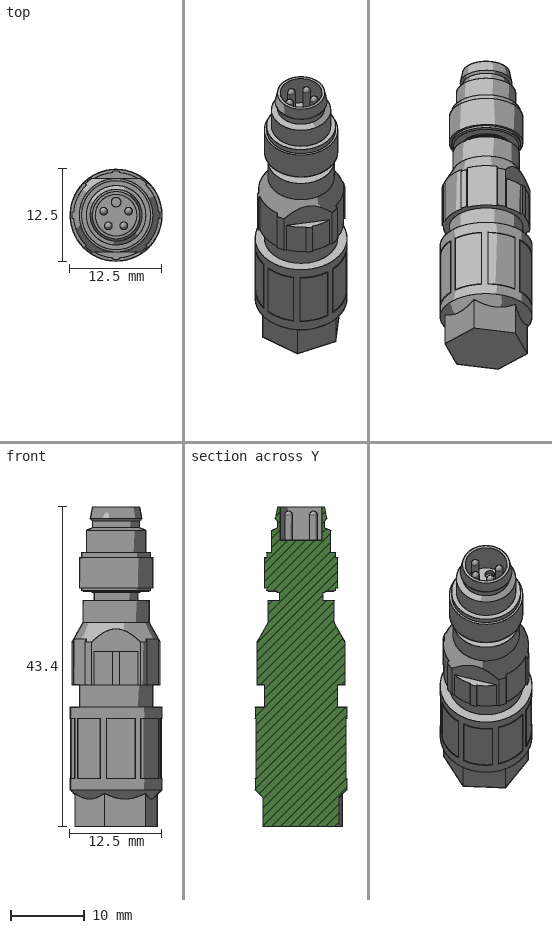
import cadquery as cq
import math

hex_top = 5.0
cap_top = 16.2
panel_bottom = 6.55
panel_top = 14.65
grip_bottom = 19.2
pad_top = 23.75
grip_cone_top = 27.65
collar_top = 30.7
ring_bottom = 31.75
ring_top = 37.2
sleeve_top = 40.55
total_height = 43.35

cap_radius = 6.25
stem_radius = 5.0
grip_radius = 5.75
collar_radius = 4.5
neck_radius = 3.0
ring_radius = 5.0
ring_step_radius = 4.7
sleeve_radius = 4.05
plug_radius = 3.2
plug_lip_radius = 3.5

ring_foot_radius = 3.25
ring_foot_height = 0.17
ring_chamfer = 0.15
ring_lower_step = 0.45
ring_upper_step = 0.75
sleeve_chamfer = 0.35
lip_bottom = 41.45
lip_top = 41.75

hex_across_flats = 9.95
hex_turn = 14.0
panel_count = 8
panel_turn = 6.2
panel_angle = 37.0
panel_depth = 0.1

flat_distance = 5.0
ridge_height = 0.2
ridge_radius = grip_radius + ridge_height
ridge_width = 0.9
ridge_angles = (0, 50, 90, 130, 180, 230, 270, 310)
pad_half_width = 3.0
land_half_width = 3.73
pad_radius = 5.8
cone_slope = 0.56

bore_radius = 2.8
bore_depth = 4.5
contact_circle_radius = 1.78
contact_angles = (18, 162, 234, 306)
contact_radius = 0.5
contact_root = 0.45
contact_tip_drop = 0.55
key_hole_angle = 90
key_hole_radius = 0.65
key_hole_depth = 0.65


def cylinder(radius, bottom, top):
    return cq.Workplane("XY").workplane(offset=bottom).circle(radius).extrude(top - bottom)


def slab(width, depth, bottom, top):
    return cq.Workplane("XY").workplane(offset=bottom).rect(width, depth).extrude(top - bottom)


def polar(radius, degrees):
    angle = math.radians(degrees)
    return radius * math.cos(angle), radius * math.sin(angle)


def revolve_profile(points):
    return cq.Workplane("XZ").polyline(points).close().revolve(360, (0, 0, 0), (0, 1, 0))


def make_cap():
    """Hexagonal cable nut under a round cap with recessed panels."""
    hex_radius = hex_across_flats / math.sqrt(3)
    hexagon = (
        cq.Workplane("XY")
        .polyline([polar(hex_radius, hex_turn + 60 * i) for i in range(6)])
        .close()
        .extrude(hex_top)
    )
    drum = cylinder(cap_radius, panel_bottom, panel_top)
    panel_floor = cylinder(cap_radius - panel_depth, panel_bottom, panel_top)
    reach = 2 * cap_radius
    panel_recess = drum.cut(panel_floor)
    cap = cylinder(cap_radius, hex_top, cap_top)
    for i in range(panel_count):
        start = panel_turn - panel_angle / 2 + i * 360 / panel_count
        wedge = (
            cq.Workplane("XY")
            .workplane(offset=panel_bottom)
            .polyline([(0, 0), polar(reach, start), polar(reach, start + panel_angle)])
            .close()
            .extrude(panel_top - panel_bottom)
        )
        cap = cap.cut(panel_recess.intersect(wedge))
    cone = revolve_profile([(0, hex_top), (cap_radius, hex_top), (0, hex_top - cap_radius)])
    cone = cone.intersect(cylinder(cap_radius, 0, hex_top))
    return cap.union(cone).union(hexagon)


def make_ridges():
    """Narrow upright ridges spaced around the grip."""
    ridges = cq.Workplane("XY")
    for angle in ridge_angles:
        bar = slab(ridge_radius, ridge_width, grip_bottom, grip_cone_top)
        bar = bar.translate((ridge_radius / 2 + ridge_height, 0, 0))
        ridges = ridges.union(bar.rotate((0, 0, 0), (0, 0, 1), angle))
    return ridges.intersect(cylinder(ridge_radius, grip_bottom, grip_cone_top))


def make_grip():
    """Ridged grip with a conical top, two flats and a finger pad on each flat."""
    across = 4 * grip_radius
    ridges = make_ridges()
    lands = slab(2 * land_half_width, across, grip_bottom, grip_cone_top)
    lands = lands.intersect(cylinder(ridge_radius, grip_bottom, grip_cone_top))
    body = cylinder(grip_radius, grip_bottom, grip_cone_top).union(ridges).union(lands)
    between_flats = slab(across, 2 * flat_distance, grip_bottom, grip_cone_top)
    pads = slab(2 * pad_half_width, across, grip_bottom, pad_top)
    pads = pads.intersect(cylinder(pad_radius, grip_bottom, pad_top).union(ridges))
    cone_base_radius = collar_radius + cone_slope * (grip_cone_top - grip_bottom)
    cone = revolve_profile([
        (0, grip_bottom),
        (cone_base_radius, grip_bottom),
        (collar_radius, grip_cone_top),
        (0, grip_cone_top),
    ])
    return body.intersect(between_flats).intersect(cone).union(pads)


def make_plug():
    """Neck, coupling ring, sleeve and snap-in plug, turned as one profile."""
    ring_foot_top = ring_bottom + ring_foot_height
    ring_low = ring_foot_top + ring_lower_step
    ring_high = ring_top - ring_upper_step
    return revolve_profile([
        (0, collar_top),
        (neck_radius, collar_top),
        (neck_radius, ring_bottom),
        (ring_foot_radius, ring_bottom),
        (ring_foot_radius, ring_foot_top),
        (ring_step_radius - 2 * ring_chamfer, ring_foot_top),
        (ring_step_radius, ring_foot_top + ring_chamfer),
        (ring_step_radius, ring_low),
        (ring_radius, ring_low),
        (ring_radius, ring_high),
        (ring_step_radius, ring_high),
        (ring_step_radius, ring_top),
        (sleeve_radius, ring_top),
        (sleeve_radius, sleeve_top - sleeve_chamfer),
        (plug_radius, sleeve_top),
        (plug_radius, lip_bottom),
        (plug_lip_radius, lip_top),
        (plug_radius, total_height),
        (0, total_height),
    ])


def make_contact(angle):
    """Round contact pin with a domed tip."""
    x, y = polar(contact_circle_radius, angle)
    dome_centre = total_height - contact_tip_drop - contact_radius
    shaft = cylinder(contact_radius, total_height - bore_depth - contact_root, dome_centre)
    dome = cq.Workplane("XY").sphere(contact_radius).translate((0, 0, dome_centre))
    return shaft.union(dome).translate((x, y, 0))


def add_socket(body):
    """Bore the plug, sink the key hole in its floor and set the contacts."""
    floor = total_height - bore_depth
    key_hole = cylinder(key_hole_radius, floor - key_hole_depth, floor)
    key_x, key_y = polar(contact_circle_radius, key_hole_angle)
    body = body.cut(cylinder(bore_radius, floor, total_height))
    body = body.cut(key_hole.translate((key_x, key_y, 0)))
    for angle in contact_angles:
        body = body.union(make_contact(angle))
    return body


stem = cylinder(stem_radius, cap_top, grip_bottom)
collar = cylinder(collar_radius, grip_cone_top, collar_top)
body = make_cap().union(stem).union(make_grip()).union(collar).union(make_plug())
result = add_socket(body)